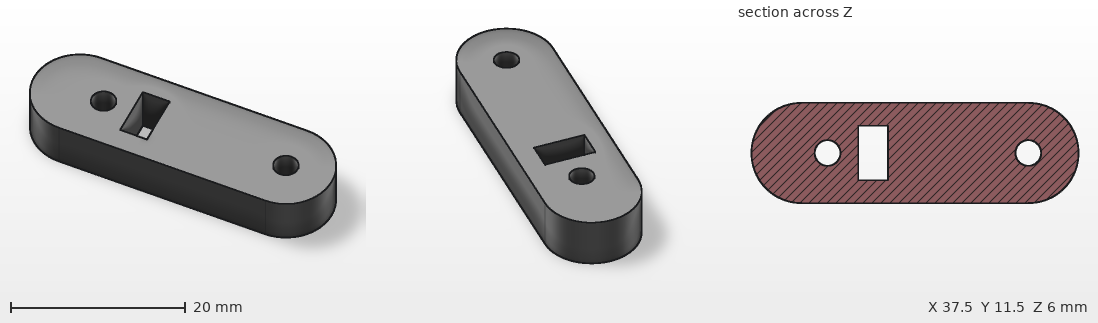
import cadquery as cq

length = 37.5
width = 11.5
thickness = 6

hole_diameter = 2.92
left_hole_x = -10.0
right_hole_x = 12.98

window_length = 3.38
window_width = 6.22
window_center_x = -4.8

plate = cq.Workplane("XY").slot2D(length, width).extrude(thickness)

round_holes = (
    cq.Workplane("XY")
    .pushPoints([(left_hole_x, 0), (right_hole_x, 0)])
    .circle(hole_diameter / 2)
    .extrude(thickness)
)

window = (
    cq.Workplane("XY")
    .center(window_center_x, 0)
    .rect(window_length, window_width)
    .extrude(thickness)
)

result = plate.cut(round_holes).cut(window)